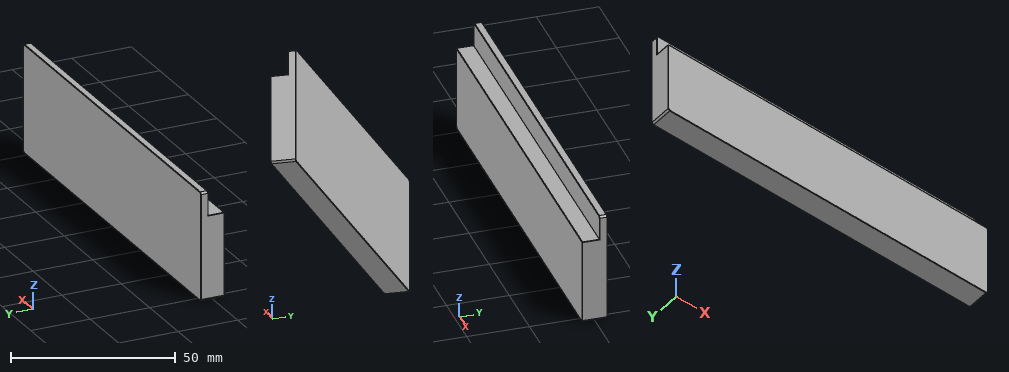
import cadquery as cq

length = 125.0
thickness = 8.0
height = 36.0

lip_height = 8.0
lip_thickness = 2.5
rebate_depth = thickness - lip_thickness

corner_chamfer = 0.6
edge_break = 0.15

plate = cq.Workplane("XY").box(length, thickness, height, centered=(True, True, False))
plate = plate.edges("|Y").chamfer(corner_chamfer)

rebate = (
    cq.Workplane("XY", origin=(0, -thickness / 2, height - lip_height))
    .box(length, rebate_depth, lip_height, centered=(True, False, False))
)
stepped_plate = plate.cut(rebate)

back_rim = stepped_plate.faces(">Y").edges().vals()
front_rim = stepped_plate.faces("<Y").edges().vals()
lip_rim = stepped_plate.faces("<Y[1]").edges("not <Z").vals()
ledge_ends = stepped_plate.faces(">Z[1]").edges("|Y").vals()
broken_edges = back_rim + front_rim + lip_rim + ledge_ends
result = stepped_plate.newObject(broken_edges).chamfer(edge_break)